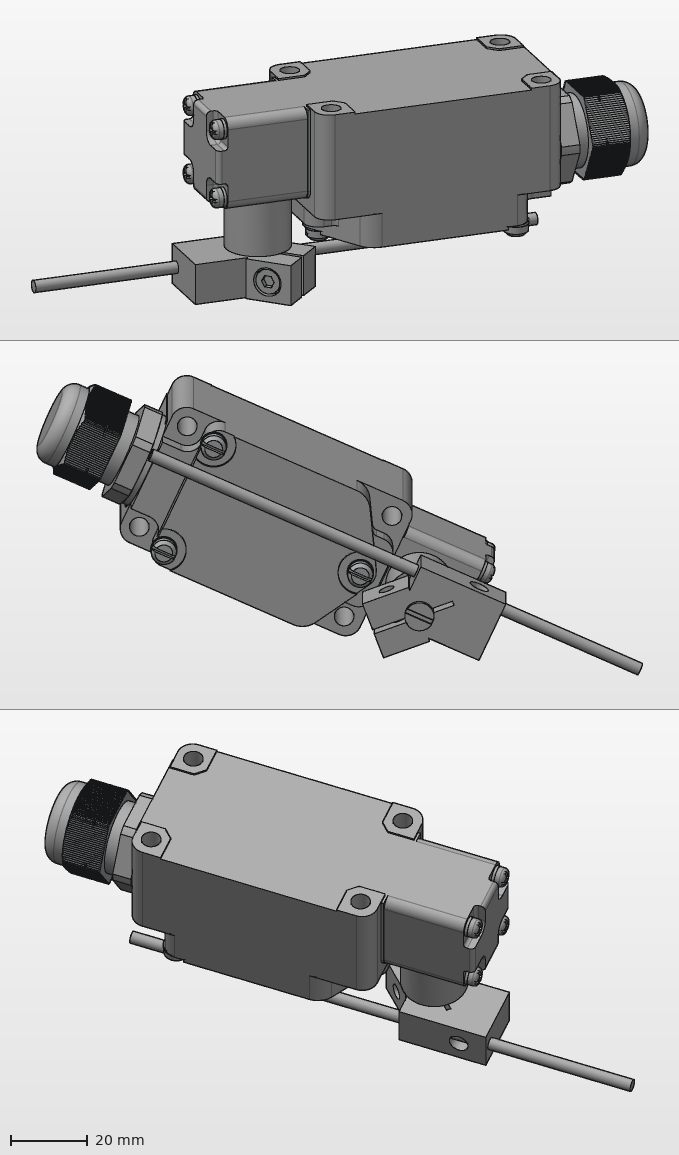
import cadquery as cq
import math


housing_width = 40.0
housing_front = 9.7
housing_rear = 78.0
housing_bottom = -29.2
housing_corner_radius = 4.2
roof_z = -0.5
collar_width = 26.2
collar_front_rise = 0.7
collar_rear_rise = 0.3

pad_length = 9.8
rear_pad_length = 9.3
pad_chamfer = 2.5
mounting_hole_diameter = 5.1
mounting_hole_x = 15.0
mounting_hole_front_y = 14.7
mounting_hole_rear_y = 73.3

cover_bottom = -38.6
lug_bottom = -34.8
cover_rear = 68.7
cover_rear_corner_radius = 3.9
cover_slant_angle = 30.0
cover_slant_start_y = 27.0
cover_front_corner_radius = 5.8
cover_tip_radius = 4.3
lug_half_width = 9.9
lug_front = 10.7
lug_corner_radius = 4.0
lug_root_radius = 1.8

cover_screw_x = 15.6
cover_screw_front_y = 16.9
cover_screw_rear_y = 66.0
cover_screw_diameter = 6.6
cover_washer_diameter = 6.9
cover_washer_thickness = 0.9
cover_screw_tip_chamfer = 1.0
cover_screw_slot_width = 1.0
cover_screw_slot_depth = 1.8
screw_seat_z = -37.7
screw_seat_diameter = 11.6
cover_screw_bottom = -41.6

head_width = 25.4
head_height = 25.2
head_front = -16.1
head_edge_radius = 2.6
head_front_radius = 1.3
head_center_z = roof_z - head_height / 2
screw_pattern_z = -13.4
pocket_floor = -13.2
pocket_start = 4.6
pocket_corner_radius = 3.0
pocket_floor_radius = 1.0
head_screw_spacing = 19.0
head_screw_diameter = 5.2
head_screw_front = -16.6
head_screw_dome = 1.3
head_washer_diameter = 5.4
head_washer_thickness = 0.8
head_screw_recess_width = 0.9
head_screw_recess_length = 4.2
head_screw_recess_depth = 1.2
barrel_diameter = 17.6
barrel_bottom = -41.3

shaft_diameter = 7.6
shaft_bottom = -55.0
shaft_slot_width = 1.2
shaft_slot_depth = 0.6

hexagon_sides = 6
hexagon_step = 360 / hexagon_sides
gland_z = -21.4
flange_diameter = 25.3
flange_end = 79.6
hexagon_across_flats = 24.3
hexagon_round_diameter = 26.8
hexagon_end = 84.7
neck_diameter = 19.8
neck_end = 88.4
nut_across_flats = 23.4
nut_round_diameter = 26.4
nut_end = 99.6
nut_bevel_length = 0.9
nut_bevel_depth = 1.8
nut_grooves_per_face = 12
nut_groove_depth = 0.25
nut_ring_groove_y = 92.3
nut_ring_groove_width = 0.4
nut_ring_groove_depth = 0.5
dome_diameter = 22.3
dome_radius = 3.6
gland_end = 105.7

block_top = -42.6
block_bottom = -53.7
block_left = -12.1
block_right = 4.7
block_front = -19.2
block_rear = 5.1
clamp_angle = 45.0
clamp_front_half = 7.55
clamp_rear_half = 8.1
clamp_length = 12.8
slit_width = 1.2
slit_tail = 9.4
clamp_bolt_distance = 6.1
clamp_bolt_diameter = 4.1
clamp_bolt_length = 12.0
bolt_recess_diameter = 7.8
bolt_recess_depth = 2.0
bolt_head_diameter = 6.8
bolt_head_height = 1.7
bolt_socket_across_corners = 3.6
bolt_socket_depth = 1.4
rod_diameter = 3.3
rod_x = -9.1
rod_front = -59.0
rod_length = 140.0
set_screw_hole_diameter = 5.2
set_screw_hole_y = -11.6
block_center_z = (block_top + block_bottom) / 2


def box(x_range, y_range, z_range):
    """Axis-aligned box given by its limits."""
    size = [high - low for low, high in (x_range, y_range, z_range)]
    return (
        cq.Workplane("XY")
        .box(*size, centered=False)
        .translate((x_range[0], y_range[0], z_range[0]))
    )


def upright_cylinder(diameter, x, y, z_low, z_high):
    return cq.Workplane("XY", origin=(x, y, z_low)).circle(diameter / 2).extrude(z_high - z_low)


def gland_plane(y):
    """Work plane across the gland axis, with its normal along +Y."""
    return cq.Workplane(cq.Plane(origin=(0, y, gland_z), xDir=(1, 0, 0), normal=(0, 1, 0)))


def gland_cylinder(diameter, y_start, y_end):
    return gland_plane(y_start).circle(diameter / 2).extrude(y_end - y_start)


def mounting_positions():
    return [
        (side * mounting_hole_x, y)
        for side in (-1, 1)
        for y in (mounting_hole_front_y, mounting_hole_rear_y)
    ]


def make_housing():
    half = housing_width / 2
    outline = (
        box((-half, half), (housing_front, housing_rear), (housing_bottom, 0))
        .edges("|Z")
        .fillet(housing_corner_radius)
    )
    inner_x = half - pad_length
    pad_front_end = housing_front + pad_length
    pad_rear_end = housing_rear - rear_pad_length
    overshoot = 1.0
    right_half = [
        (inner_x, housing_front - overshoot),
        (inner_x, pad_front_end - pad_chamfer),
        (inner_x + pad_chamfer, pad_front_end),
        (half + overshoot, pad_front_end),
        (half + overshoot, pad_rear_end),
        (inner_x + pad_chamfer, pad_rear_end),
        (inner_x, pad_rear_end + pad_chamfer),
        (inner_x, housing_rear + overshoot),
    ]
    left_half = [(-x, y) for x, y in reversed(right_half)]
    sunk_roof = (
        cq.Workplane("XY", origin=(0, 0, roof_z)).polyline(right_half + left_half).close().extrude(-roof_z)
    )
    collar = box(
        (-collar_width / 2, collar_width / 2),
        (housing_front - collar_front_rise, housing_rear + collar_rear_rise),
        (roof_z - head_height, roof_z),
    )
    collar = collar.edges("|Y and <Z").fillet(head_edge_radius)
    return outline.cut(sunk_roof).union(collar)


def make_cover():
    """Cover with an arrow-shaped front, plus the lugs that reach both housing ends."""
    half = housing_width / 2
    angle = math.radians(cover_slant_angle)
    front_radius = cover_front_corner_radius
    slant_start_x = half - front_radius * (1 - math.sin(angle))
    slant_start_y = cover_slant_start_y - front_radius * math.cos(angle)
    slant_end_x = cover_tip_radius * math.sin(angle)
    slant_end_y = slant_start_y - (slant_start_x - slant_end_x) * math.tan(angle)
    tip_y = slant_end_y - cover_tip_radius * (1 - math.cos(angle))
    mid = (90 - cover_slant_angle) / 2
    mid_x = half - front_radius * (1 - math.cos(math.radians(mid)))
    mid_y = cover_slant_start_y - front_radius * math.sin(math.radians(mid))
    rear_flat_x = half - cover_rear_corner_radius
    rear_side_y = cover_rear - cover_rear_corner_radius

    cover = (
        cq.Workplane("XY", origin=(0, 0, cover_bottom))
        .moveTo(rear_flat_x, cover_rear)
        .radiusArc((half, rear_side_y), cover_rear_corner_radius)
        .lineTo(half, cover_slant_start_y)
        .threePointArc((mid_x, mid_y), (slant_start_x, slant_start_y))
        .lineTo(slant_end_x, slant_end_y)
        .threePointArc((0, tip_y), (-slant_end_x, slant_end_y))
        .lineTo(-slant_start_x, slant_start_y)
        .threePointArc((-mid_x, mid_y), (-half, cover_slant_start_y))
        .lineTo(-half, rear_side_y)
        .radiusArc((-rear_flat_x, cover_rear), cover_rear_corner_radius)
        .close()
        .extrude(housing_bottom - cover_bottom)
    )
    for x, y in cover_screw_positions():
        cover = cover.cut(upright_cylinder(screw_seat_diameter, x, y, cover_bottom, screw_seat_z))

    front_lug = (
        box(
            (-lug_half_width, lug_half_width),
            (lug_front, cover_slant_start_y),
            (lug_bottom, housing_bottom),
        )
        .edges("|Z and <Y")
        .fillet(lug_corner_radius)
    )
    root_x = lug_half_width + lug_corner_radius
    root_y = cover_rear + lug_corner_radius
    rear_lug = (
        cq.Workplane("XY", origin=(0, 0, lug_bottom))
        .moveTo(lug_half_width, housing_rear)
        .lineTo(lug_half_width, root_y)
        .radiusArc((root_x, cover_rear), -lug_corner_radius)
        .lineTo(root_x, rear_side_y)
        .lineTo(-root_x, rear_side_y)
        .lineTo(-root_x, cover_rear)
        .radiusArc((-lug_half_width, root_y), -lug_corner_radius)
        .lineTo(-lug_half_width, housing_rear)
        .close()
        .extrude(housing_bottom - lug_bottom)
    )
    cover = cover.union(front_lug)
    root_wall_y = slant_start_y - (slant_start_x - lug_half_width) * math.tan(angle)
    reach = 1.0
    roots = cq.selectors.BoxSelector(
        (-lug_half_width - reach, root_wall_y - reach, lug_bottom - reach),
        (lug_half_width + reach, root_wall_y + reach, housing_bottom + reach),
    )
    cover = cover.edges("|Z").edges(roots).fillet(lug_root_radius)
    return cover.union(rear_lug)


def cover_screw_positions():
    return [
        (0, cover_screw_front_y),
        (-cover_screw_x, cover_screw_rear_y),
        (cover_screw_x, cover_screw_rear_y),
    ]


def make_cover_screw(x, y):
    head = (
        upright_cylinder(cover_screw_diameter, x, y, cover_screw_bottom, screw_seat_z)
        .faces("<Z")
        .edges()
        .chamfer(cover_screw_tip_chamfer)
    )
    radius = cover_screw_diameter / 2
    slot = box(
        (x - cover_screw_slot_width / 2, x + cover_screw_slot_width / 2),
        (y - radius, y + radius),
        (cover_screw_bottom, cover_screw_bottom + cover_screw_slot_depth),
    )
    washer_low = screw_seat_z - cover_washer_thickness
    washer = upright_cylinder(cover_washer_diameter, x, y, washer_low, screw_seat_z)
    return head.cut(slot).union(washer)


def make_head():
    half = head_width / 2
    head = (
        box((-half, half), (head_front, housing_front), (roof_z - head_height, roof_z))
        .edges("|Y")
        .fillet(head_edge_radius)
        .faces("<Y")
        .edges()
        .fillet(head_front_radius)
    )
    for side in (-1, 1):
        for level in (-1, 1):
            head = head.cut(make_head_pocket(side, level))
    return head


def make_head_pocket(side, level):
    depth = pocket_floor - head_front
    floor_size = head_width - pocket_start
    offset = pocket_start + floor_size / 2
    return (
        cq.Workplane("XZ", origin=(side * offset, pocket_floor, screw_pattern_z + level * offset))
        .rect(floor_size, floor_size)
        .extrude(depth)
        .edges("|Y")
        .fillet(pocket_corner_radius)
        .faces(">Y")
        .edges()
        .fillet(pocket_floor_radius)
    )


def make_head_screw(x, z):
    radius = head_screw_diameter / 2
    head = (
        cq.Workplane("XZ", origin=(x, pocket_floor, z))
        .circle(radius)
        .extrude(pocket_floor - head_screw_front)
        .faces("<Y")
        .edges()
        .fillet(head_screw_dome)
    )
    recess = (
        cq.Workplane("XZ", origin=(x, head_screw_front + head_screw_recess_depth, z))
        .rect(head_screw_recess_length, head_screw_recess_width)
        .extrude(head_screw_recess_depth)
    )
    washer = (
        cq.Workplane("XZ", origin=(x, pocket_floor, z))
        .circle(head_washer_diameter / 2)
        .extrude(head_washer_thickness)
    )
    return head.cut(recess).cut(recess.rotate((x, 0, z), (x, 1, z), 90)).union(washer)


def make_shaft():
    shaft = upright_cylinder(shaft_diameter, 0, 0, shaft_bottom, barrel_bottom)
    radius = shaft_diameter / 2
    slot = box(
        (-shaft_slot_width / 2, shaft_slot_width / 2),
        (-radius, radius),
        (shaft_bottom, shaft_bottom + shaft_slot_depth),
    )
    return shaft.cut(slot)


def hexagon_prism(across_flats, round_diameter, y_start, y_end):
    """Hexagon with horizontal flats on top and bottom and corners turned round."""
    across_corners = across_flats / math.cos(math.radians(hexagon_step / 2))
    prism = gland_plane(y_start).polygon(hexagon_sides, across_corners).extrude(y_end - y_start)
    return prism.intersect(gland_cylinder(round_diameter, y_start, y_end))


def make_gland_nut():
    """Hexagonal nut whose faces carry fine grooves along the axis."""
    pitch = nut_across_flats * math.tan(math.radians(hexagon_step / 2)) / nut_grooves_per_face
    face_radius = nut_across_flats / 2
    groove_radius = face_radius - nut_groove_depth
    points = []
    for face in range(hexagon_sides):
        angle = math.radians(hexagon_step * face + hexagon_step / 2)
        for groove in range(nut_grooves_per_face):
            start = (groove - nut_grooves_per_face / 2) * pitch
            profile = [
                (start, face_radius),
                (start + pitch / 2, face_radius),
                (start + pitch / 2, groove_radius),
                (start + pitch, groove_radius),
            ]
            for along, out in profile:
                x = out * math.cos(angle) - along * math.sin(angle)
                y = out * math.sin(angle) + along * math.cos(angle)
                points.append((x, y))
    nut = gland_plane(neck_end).polyline(points).close().extrude(nut_end - neck_end)
    ring_diameter = nut_round_diameter - 2 * nut_ring_groove_depth
    ring_groove = (
        gland_plane(nut_ring_groove_y)
        .circle(nut_round_diameter)
        .circle(ring_diameter / 2)
        .extrude(nut_ring_groove_width)
    )
    bevelled_round = (
        gland_cylinder(nut_round_diameter, neck_end, nut_end)
        .faces(">Y")
        .edges()
        .chamfer(nut_bevel_length, nut_bevel_depth)
    )
    return nut.intersect(bevelled_round).cut(ring_groove)


def make_gland():
    flange = gland_cylinder(flange_diameter, housing_rear, flange_end)
    hexagon = hexagon_prism(hexagon_across_flats, hexagon_round_diameter, flange_end, hexagon_end)
    neck = gland_cylinder(neck_diameter, hexagon_end, neck_end)
    dome = gland_cylinder(dome_diameter, nut_end, gland_end).faces(">Y").edges().fillet(dome_radius)
    return flange.union(hexagon).union(neck).union(make_gland_nut()).union(dome)


def make_switch():
    switch = make_housing().union(make_cover())
    for x, y in mounting_positions():
        switch = switch.cut(upright_cylinder(mounting_hole_diameter, x, y, housing_bottom, 0))
    for x, y in cover_screw_positions():
        switch = switch.union(make_cover_screw(x, y))
    switch = switch.union(make_head())
    for side in (-1, 1):
        for level in (-1, 1):
            x = side * head_screw_spacing / 2
            z = screw_pattern_z + level * head_screw_spacing / 2
            switch = switch.union(make_head_screw(x, z))
    barrel = upright_cylinder(barrel_diameter, 0, 0, barrel_bottom, head_center_z)
    return switch.union(barrel).union(make_shaft()).union(make_gland())


def clamp_box(along_range, across_range):
    """Full-height box laid along the slit direction through the shaft axis."""
    shape = box(along_range, across_range, (block_bottom, block_top))
    return shape.rotate((0, 0, 0), (0, 0, 1), clamp_angle)


def make_lever_block():
    body = box((block_left, block_right), (block_front, block_rear), (block_bottom, block_top))
    clamp = clamp_box((0, clamp_length), (-clamp_front_half, clamp_rear_half))
    slit = clamp_box((-slit_tail, clamp_length), (-slit_width / 2, slit_width / 2))
    return body.union(clamp).cut(slit)


def make_lever():
    block = make_lever_block()
    angle = math.radians(clamp_angle)
    along = cq.Vector(math.cos(angle), math.sin(angle), 0)
    inward = cq.Vector(-math.sin(angle), math.cos(angle), 0)
    middle = along * clamp_bolt_distance + cq.Vector(0, 0, block_center_z)

    def bolt_plane(depth):
        return cq.Workplane(
            cq.Plane(origin=middle + inward * (depth - clamp_front_half), xDir=along, normal=inward)
        )

    recess = bolt_plane(0).circle(bolt_recess_diameter / 2).extrude(bolt_recess_depth)
    bolt_hole = bolt_plane(0).circle(clamp_bolt_diameter / 2).extrude(clamp_front_half + clamp_rear_half)
    shank = bolt_plane(bolt_recess_depth).circle(clamp_bolt_diameter / 2).extrude(clamp_bolt_length)
    head_start = bolt_recess_depth - bolt_head_height
    bolt_head = bolt_plane(head_start).circle(bolt_head_diameter / 2).extrude(bolt_head_height)
    socket = bolt_plane(head_start).polygon(hexagon_sides, bolt_socket_across_corners)
    socket = socket.extrude(bolt_socket_depth)
    set_screw_hole = (
        cq.Workplane("YZ", origin=(block_left, set_screw_hole_y, block_center_z))
        .circle(set_screw_hole_diameter / 2)
        .extrude(rod_x - block_left)
    )
    rod = (
        cq.Workplane("XZ", origin=(rod_x, rod_front, block_center_z))
        .circle(rod_diameter / 2)
        .extrude(-rod_length)
    )
    shaft_hole = upright_cylinder(shaft_diameter, 0, 0, block_bottom, block_top)
    block = block.cut(recess).cut(bolt_hole).cut(set_screw_hole)
    block = block.union(shank).union(bolt_head).cut(socket)
    return block.union(rod).cut(shaft_hole)


switch = make_switch()
lever = make_lever()

result = cq.Compound.makeCompound([switch.val(), lever.val()])